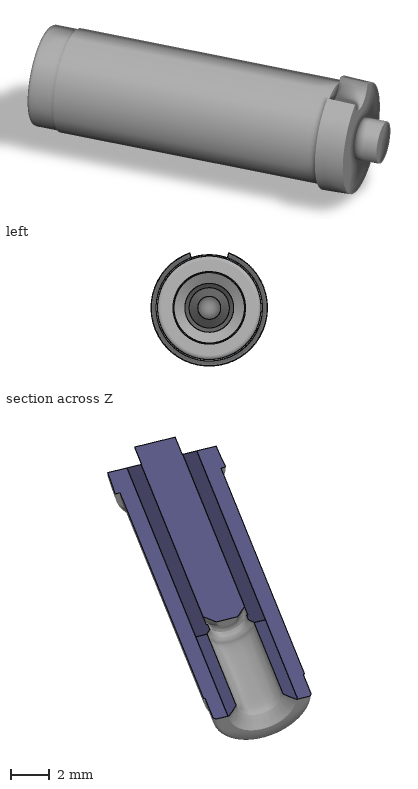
import cadquery as cq

STEP_X = 1.48
FLANGE_X = 15.8
SHELL_LENGTH = 17.3
TOTAL_LENGTH = 18.5

NOSE_RADIUS = 2.66
BODY_RADIUS = 2.74
FLANGE_FRONT_RADIUS = 3.0
FLANGE_REAR_RADIUS = 2.95
NOSE_FILLET = 0.2
BORE_RADIUS = 1.87
NOTCH_RADIUS = 1.0
NOTCH_CENTER_Z = 2.96

FUNNEL_MOUTH_RADIUS = 1.81
FUNNEL_DEPTH = 0.55
SOCKET_RADIUS = 1.25
FRONT_INSULATOR_LENGTH = 5.55

THROAT_RADIUS = 1.04
THROAT_LENGTH = 0.37
COUNTERSINK_DEPTH = SOCKET_RADIUS - THROAT_RADIUS

CONTACT_RADIUS = 1.11
CONTACT_TIP_RADIUS = 0.6
CONTACT_TIP_LENGTH = CONTACT_RADIUS - CONTACT_TIP_RADIUS
CONTACT_SEAT_X = FRONT_INSULATOR_LENGTH + COUNTERSINK_DEPTH + THROAT_LENGTH


def revolve_about_x(profile):
    """Revolve a closed outline of (x, radius) points about the X axis."""
    return cq.Workplane("XY").polyline(profile).close().revolve(360, (0, 0), (1, 0))


def make_shell():
    shell = revolve_about_x([
        (0, BORE_RADIUS),
        (0, NOSE_RADIUS),
        (STEP_X, NOSE_RADIUS),
        (STEP_X, BODY_RADIUS),
        (FLANGE_X, BODY_RADIUS),
        (FLANGE_X, FLANGE_FRONT_RADIUS),
        (SHELL_LENGTH, FLANGE_REAR_RADIUS),
        (SHELL_LENGTH, BORE_RADIUS),
    ])
    shell = shell.faces("<X").edges(cq.selectors.RadiusNthSelector(-1)).fillet(NOSE_FILLET)

    notch = (
        cq.Workplane("YZ", origin=(FLANGE_X, 0, NOTCH_CENTER_Z))
        .circle(NOTCH_RADIUS)
        .extrude(SHELL_LENGTH - FLANGE_X)
    )
    return shell.cut(notch).solids()


def make_front_insulator():
    return revolve_about_x([
        (0, FUNNEL_MOUTH_RADIUS),
        (0, BORE_RADIUS),
        (FRONT_INSULATOR_LENGTH, BORE_RADIUS),
        (FRONT_INSULATOR_LENGTH, SOCKET_RADIUS),
        (FUNNEL_DEPTH, SOCKET_RADIUS),
    ])


def make_rear_insulator():
    return revolve_about_x([
        (FRONT_INSULATOR_LENGTH, SOCKET_RADIUS),
        (FRONT_INSULATOR_LENGTH, BORE_RADIUS),
        (SHELL_LENGTH, BORE_RADIUS),
        (SHELL_LENGTH, CONTACT_RADIUS),
        (CONTACT_SEAT_X, CONTACT_RADIUS),
        (CONTACT_SEAT_X, THROAT_RADIUS),
        (FRONT_INSULATOR_LENGTH + COUNTERSINK_DEPTH, THROAT_RADIUS),
    ])


def make_contact():
    return revolve_about_x([
        (CONTACT_SEAT_X, 0),
        (CONTACT_SEAT_X, CONTACT_TIP_RADIUS),
        (CONTACT_SEAT_X + CONTACT_TIP_LENGTH, CONTACT_RADIUS),
        (TOTAL_LENGTH, CONTACT_RADIUS),
        (TOTAL_LENGTH, 0),
    ])


shell = make_shell()
front_insulator = make_front_insulator()
rear_insulator = make_rear_insulator()
contact = make_contact()

result = cq.Compound.makeCompound([
    shell.val(),
    front_insulator.val(),
    rear_insulator.val(),
    contact.val(),
])